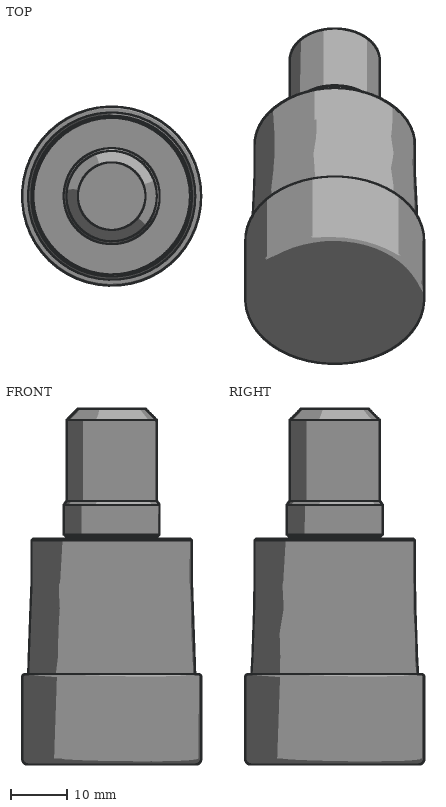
import cadquery as cq

total_height = 63.0
base_height = 16.0
taper_height = 16.0
collar_height = 8.0
neck_height = 0.4
band_height = 6.3

base_radius = 15.9
taper_bottom_radius = 14.85
collar_radius = 14.25
neck_radius = 8.1
band_radius = 8.5
pin_radius = 8.0

base_bottom_fillet = 1.0
base_top_fillet = 0.5
collar_chamfer = 0.4
band_top_bevel_height = 0.7
pin_chamfer = 2.0

seat_depth = 1.5

seat_level = base_height - seat_depth
taper_top = base_height + taper_height
collar_top = taper_top + collar_height
band_bottom = collar_top + neck_height
band_top = band_bottom + band_height
band_lower_bevel = band_radius - neck_radius


def make_base(shank):
    """Round foot with rounded edges and a shallow recess that fits the seated end of the shank."""
    base = cq.Workplane("XY").circle(base_radius).extrude(base_height)
    base = base.faces("<Z").edges().fillet(base_bottom_fillet)
    base = base.faces(">Z").edges().fillet(base_top_fillet)
    return base.cut(shank)


def make_shank():
    """Tapered body, collar, neck, band and pin, turned about Z as one solid."""
    return (
        cq.Workplane("XZ")
        .moveTo(0, seat_level)
        .lineTo(taper_bottom_radius, seat_level)
        .lineTo(collar_radius, taper_top)
        .lineTo(collar_radius, collar_top - collar_chamfer)
        .lineTo(collar_radius - collar_chamfer, collar_top)
        .lineTo(neck_radius, collar_top)
        .lineTo(neck_radius, band_bottom)
        .lineTo(band_radius, band_bottom + band_lower_bevel)
        .lineTo(band_radius, band_top - band_top_bevel_height)
        .lineTo(pin_radius, band_top)
        .lineTo(pin_radius, total_height - pin_chamfer)
        .lineTo(pin_radius - pin_chamfer, total_height)
        .lineTo(0, total_height)
        .close()
        .revolve(360, (0, 0, 0), (0, 1, 0))
    )


shank = make_shank()
base = make_base(shank)
result = cq.Compound.makeCompound([base.val(), shank.val()])